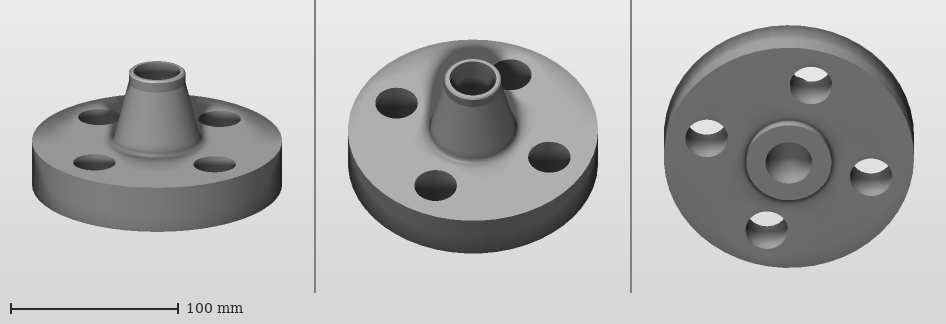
import cadquery as cq

flange_diameter = 149.3
flange_thickness = 28.4
face_diameter = 50.8
face_height = 6.3
overall_height = 79.5

hub_base_diameter = 52.4
hub_fillet_radius = 3.1
neck_diameter = 33.7
neck_length = 6.9
neck_chamfer = 0.9
bore_diameter = 27.9

bolt_count = 4
bolt_hole_diameter = 25.4
bolt_circle_diameter = 101.5

neck_top = overall_height - face_height
neck_bottom = neck_top - neck_length
level_tolerance = 0.01


def revolved_body():
    """Solid of revolution: raised face, flange, tapered hub and pipe neck."""
    face_radius = face_diameter / 2
    flange_radius = flange_diameter / 2
    hub_base_radius = hub_base_diameter / 2
    neck_radius = neck_diameter / 2
    half_profile = (
        cq.Workplane("XZ")
        .moveTo(0, -face_height)
        .lineTo(face_radius, -face_height)
        .lineTo(face_radius, 0)
        .lineTo(flange_radius, 0)
        .lineTo(flange_radius, flange_thickness)
        .lineTo(hub_base_radius, flange_thickness)
        .lineTo(neck_radius, neck_bottom)
        .lineTo(neck_radius, neck_top)
        .lineTo(0, neck_top)
        .close()
    )
    return half_profile.revolve(360, (0, 0, 0), (0, 1, 0))


def bolt_holes():
    """Through-cutters for the bolts, on the X and Y axes."""
    return (
        cq.Workplane("XY")
        .polarArray(bolt_circle_diameter / 2, 0, 360, bolt_count)
        .circle(bolt_hole_diameter / 2)
        .extrude(flange_thickness)
    )


def bore():
    """Through-cutter for the pipe bore."""
    return (
        cq.Workplane("XY", origin=(0, 0, -face_height))
        .circle(bore_diameter / 2)
        .extrude(overall_height)
    )


body = revolved_body()
body = body.faces(">Z").edges().chamfer(neck_chamfer)
body = (
    body.edges("%CIRCLE")
    .filter(lambda edge: abs(edge.Center().z - flange_thickness) < level_tolerance)
    .edges(cq.selectors.RadiusNthSelector(0))
    .fillet(hub_fillet_radius)
)
result = body.cut(bolt_holes()).cut(bore())